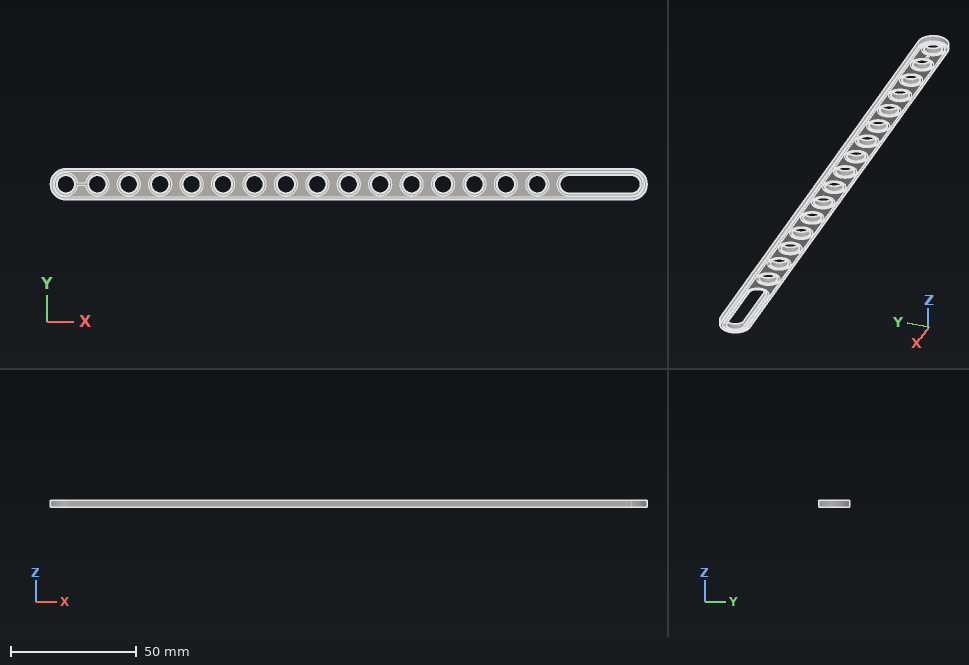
import cadquery as cq

length = 237.5
module_count = 19
pitch = length / module_count
width = pitch

thickness = 3.0
bead_height = 0.28
bead_setback = 0.35
bead_width = 0.8
web_thickness = thickness - 2 * bead_height

round_hole_count = 16
hole_diameter = 7.0


def module_x(index):
    """X of the centre of a module, counted from 0 at the -X end."""
    return (index - (module_count - 1) / 2) * pitch


slot_start = module_x(round_hole_count)
slot_end = module_x(module_count - 1)
slot_middle = (slot_start + slot_end) / 2
slot_travel = slot_end - slot_start

hole_centres = [(module_x(index), 0) for index in range(round_hole_count)]


def outline_prism(bottom, height, inset=0):
    """Round-ended bar, with its outline moved inwards by the inset."""
    plane = cq.Workplane("XY").workplane(offset=bottom)
    return plane.slot2D(length - 2 * inset, width - 2 * inset).extrude(height)


def opening_prisms(bottom, height, growth=0):
    """Solids filling the round holes and the slot, grown all round by the given amount."""
    diameter = hole_diameter + 2 * growth
    plane = cq.Workplane("XY").workplane(offset=bottom)
    cylinders = plane.pushPoints(hole_centres).circle(diameter / 2).extrude(height)
    slot = plane.center(slot_middle, 0).slot2D(slot_travel + diameter, diameter)
    return cylinders.union(slot.extrude(height))


def raised_beads(bottom):
    """Bead along the outline, a bead around each opening, and the marker rib."""
    bead_far_side = bead_setback + bead_width
    border = outline_prism(bottom, bead_height, bead_setback)
    border = border.cut(outline_prism(bottom, bead_height, bead_far_side))

    rib = cq.Workplane("XY").workplane(offset=bottom)
    rib = rib.center((module_x(0) + module_x(1)) / 2, 0)
    rib = rib.rect(pitch, bead_width).extrude(bead_height)

    collars = opening_prisms(bottom, bead_height, bead_far_side)
    beads = border.union(collars).union(rib)
    return beads.cut(opening_prisms(bottom, bead_height, bead_setback))


web = outline_prism(bead_height, web_thickness)
web = web.cut(opening_prisms(bead_height, web_thickness))
result = web.union(raised_beads(0)).union(raised_beads(thickness - bead_height))